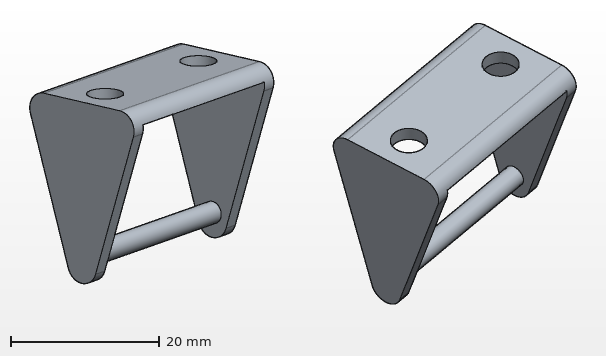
import cadquery as cq
import math

width = 18.158
length = 30.0
height = 25.59

plate_thickness = 2.0
cheek_thickness = 2.0
corner_radius = 2.5

hole_diameter = 5.0
hole_spacing = 20.0

rod_diameter = 3.1
rod_clearance = 2.0

upper_centre_x = width / 2 - corner_radius
upper_centre_z = -corner_radius
lower_centre_z = corner_radius - height
rod_centre_z = rod_clearance + rod_diameter / 2 - height

flank_run = upper_centre_x
flank_drop = upper_centre_z - lower_centre_z
flank_length = math.hypot(flank_run, flank_drop)
normal_x = flank_drop / flank_length
normal_z = -flank_run / flank_length


def rounded_triangle_prism(prism_length):
    """Rounded triangle, point down, extruded along Y and centred on Y = 0."""
    tangent_x = corner_radius * normal_x
    tangent_z = corner_radius * normal_z
    flank_top_x = upper_centre_x + tangent_x
    flank_top_z = upper_centre_z + tangent_z
    flank_bottom_z = lower_centre_z + tangent_z

    mid_angle = (math.pi / 2 + math.atan2(normal_z, normal_x)) / 2
    arc_mid_x = upper_centre_x + corner_radius * math.cos(mid_angle)
    arc_mid_z = upper_centre_z + corner_radius * math.sin(mid_angle)

    return (
        cq.Workplane("XZ")
        .workplane(offset=-prism_length / 2)
        .moveTo(-upper_centre_x, 0)
        .lineTo(upper_centre_x, 0)
        .threePointArc((arc_mid_x, arc_mid_z), (flank_top_x, flank_top_z))
        .lineTo(tangent_x, flank_bottom_z)
        .threePointArc((0, -height), (-tangent_x, flank_bottom_z))
        .lineTo(-flank_top_x, flank_top_z)
        .threePointArc((-arc_mid_x, arc_mid_z), (-upper_centre_x, 0))
        .close()
        .extrude(prism_length)
    )


def space_between_cheeks():
    """Block below the top plate that separates the two cheeks."""
    inner_length = length - 2 * cheek_thickness
    return (
        cq.Workplane("XY")
        .workplane(offset=-height)
        .rect(width, inner_length)
        .extrude(height - plate_thickness)
    )


def mounting_holes():
    """Cutters for the two holes through the top plate."""
    return (
        cq.Workplane("XY")
        .pushPoints([(0, -hole_spacing / 2), (0, hole_spacing / 2)])
        .circle(hole_diameter / 2)
        .extrude(-plate_thickness)
    )


def cross_rod():
    """Rod along Y, ending inside the cheeks so that their outer faces stay plain."""
    rod_length = length - cheek_thickness
    return (
        cq.Workplane("XZ")
        .workplane(offset=-rod_length / 2)
        .center(0, rod_centre_z)
        .circle(rod_diameter / 2)
        .extrude(rod_length)
    )


bracket = rounded_triangle_prism(length).cut(space_between_cheeks())
bracket = bracket.cut(mounting_holes())
result = bracket.union(cross_rod())